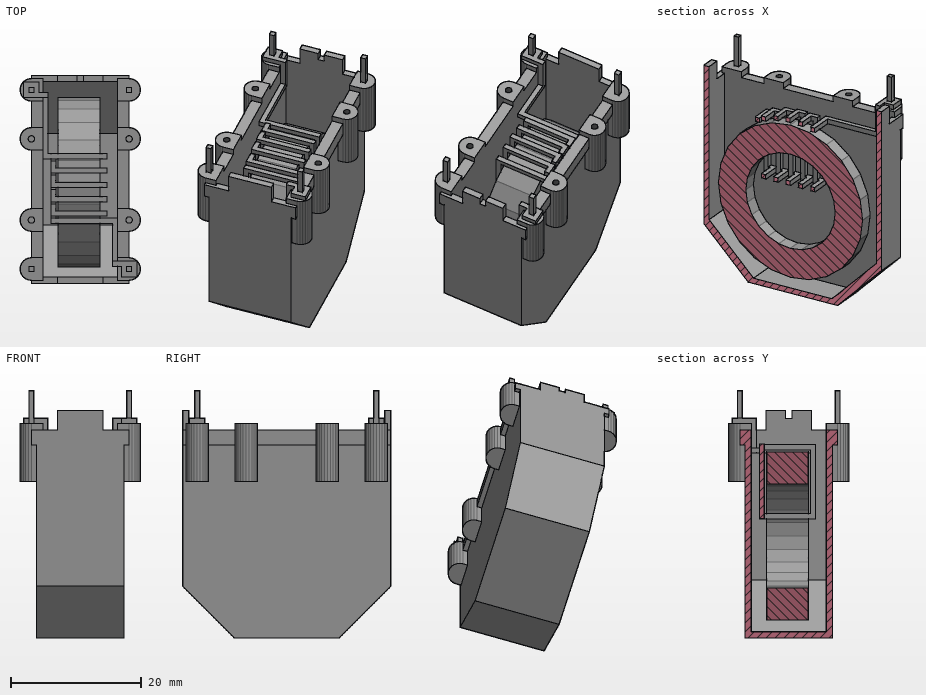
import cadquery as cq
import math

LENGTH = 32.0
BODY_WIDTH = 13.5
RIM_WIDTH = 15.0
RIM_TOP = 32.0
RIM_HEIGHT = 2.35
END_CHAMFER = 7.98
WALL = 1.0
POCKET_WIDTH = 11.5

TAB_WIDTH = 7.03
TAB_HEIGHT = 3.0
SLOT_WIDTH = 1.0
SLOT_DEPTH = 1.25

FACETS = 24
OVERALL_WIDTH = 18.5
POST_RADIUS = 1.75
POST_X = OVERALL_WIDTH / 2 - POST_RADIUS
POST_TOP = RIM_TOP + WALL
POST_LENGTH = 8.93
CORNER_POST_Y = 13.75
MIDDLE_POST_Y = 6.25
SCREW_HOLE_DIAMETER = 1.0
POST_HOLE_DEPTH = 6.0

CORE_RADIUS = 13.0
BORE_RADIUS = 7.98
CORE_WIDTH = 6.4
CORE_X = -0.2
CORE_Y = -0.4
CORE_Z = 15.7

WIRE = 0.8
WIRE_CLEARANCE = 0.35
TURNS = 5
PITCH = 2.2
FIRST_TURN_Y = 3.57
RETURN_Z = CORE_Z + 3.05
PIN_TOP = 38
PLATE_SIDE = 3 * WIRE

LEG_OFFSET = CORE_WIDTH / 2 + WIRE_CLEARANCE + WIRE / 2
LEFT_LEG_X = CORE_X - LEG_OFFSET
RIGHT_LEG_X = CORE_X + LEG_OFFSET
LEAD_X = (POCKET_WIDTH - WIRE) / 2
LEAD_END_Y = CORNER_POST_Y - (PLATE_SIDE - WIRE) / 2
PLATE_Z = POST_TOP + WIRE / 2


def box(x_range, y_range, z_range):
    """Box given by its limits along the three axes."""
    (x0, x1), (y0, y1), (z0, z1) = x_range, y_range, z_range
    return cq.Workplane("XY").box(x1 - x0, y1 - y0, z1 - z0, centered=False).translate((x0, y0, z0))


def chamfered_block(width, end_y, base_z, top_z):
    """Block centred on X = 0 whose lower ends slope at 45 degrees."""
    flat_y = end_y - END_CHAMFER
    knee_z = base_z + END_CHAMFER
    outline = [
        (-flat_y, base_z),
        (flat_y, base_z),
        (end_y, knee_z),
        (end_y, top_z),
        (-end_y, top_z),
        (-end_y, knee_z),
    ]
    return cq.Workplane("YZ").polyline(outline).close().extrude(width / 2, both=True)


def make_post(side, y):
    """Post on the given side (-1 or +1): a round outer end joined to the wall by a flat-sided web."""
    base_z = POST_TOP - POST_LENGTH
    post = (
        cq.Workplane("XY", origin=(side * POST_X, y, base_z))
        .polygon(FACETS, 2 * POST_RADIUS)
        .extrude(POST_LENGTH)
    )
    web_x = sorted((side * POCKET_WIDTH / 2, side * POST_X))
    web = box(web_x, (y - POST_RADIUS, y + POST_RADIUS), (base_z, POST_TOP))
    return post.union(web)


def make_tab(end):
    """Tab on top of the end wall at -Y (end = -1) or +Y (end = +1)."""
    y_range = sorted((end * LENGTH / 2, end * (LENGTH / 2 - WALL)))
    return box((-TAB_WIDTH / 2, TAB_WIDTH / 2), y_range, (RIM_TOP, RIM_TOP + TAB_HEIGHT))


def make_housing():
    end_y = LENGTH / 2
    tab_top = RIM_TOP + TAB_HEIGHT
    housing = chamfered_block(BODY_WIDTH, end_y, 0, RIM_TOP)
    rim = box((-RIM_WIDTH / 2, RIM_WIDTH / 2), (-end_y, end_y), (RIM_TOP - RIM_HEIGHT, RIM_TOP))
    housing = housing.union(rim)
    post_rows = (-CORNER_POST_Y, -MIDDLE_POST_Y, MIDDLE_POST_Y, CORNER_POST_Y)
    for side in (-1, 1):
        for y in post_rows:
            housing = housing.union(make_post(side, y))
    for end in (-1, 1):
        housing = housing.union(make_tab(end))
    housing = housing.cut(chamfered_block(POCKET_WIDTH, end_y - WALL, WALL, tab_top))
    slot = box((-SLOT_WIDTH / 2, SLOT_WIDTH / 2), (end_y - WALL, end_y), (tab_top - SLOT_DEPTH, tab_top))
    housing = housing.cut(slot)
    screw_holes = (
        cq.Workplane("XY", origin=(0, 0, POST_TOP))
        .rect(2 * POST_X, 2 * MIDDLE_POST_Y, forConstruction=True)
        .vertices()
        .polygon(FACETS, SCREW_HOLE_DIAMETER)
        .extrude(-POST_HOLE_DEPTH)
    )
    return housing.cut(screw_holes)


def make_core():
    return (
        cq.Workplane("YZ", origin=(CORE_X - CORE_WIDTH / 2, CORE_Y, CORE_Z))
        .polygon(FACETS, 2 * CORE_RADIUS)
        .polygon(FACETS, 2 * BORE_RADIUS)
        .extrude(CORE_WIDTH)
    )


def crossing_z(y):
    """Height of the centre line of the wire where it crosses over the core at y."""
    path_radius = CORE_RADIUS + WIRE_CLEARANCE + WIRE / 2
    return CORE_Z + math.sqrt(path_radius**2 - (y - CORE_Y) ** 2)


def wire_path(points):
    """Square wire along an axis-parallel path, with solid square corners."""
    wire = cq.Workplane("XY")
    half = WIRE / 2
    for start, end in zip(points, points[1:]):
        ranges = [(min(a, b) - half, max(a, b) + half) for a, b in zip(start, end)]
        wire = wire.union(box(*ranges))
    return wire


def make_plate(side):
    """Plate on the corner post at side * (POST_X, -CORNER_POST_Y)."""
    plate = cq.Workplane("XY").rect(PLATE_SIDE, PLATE_SIDE).extrude(WIRE)
    return plate.translate((side * POST_X, -side * CORNER_POST_Y, POST_TOP))


def lead_points(side, y, z):
    """Path from a plate, down the pocket wall and along it to the turn at y."""
    end_y = -side * LEAD_END_Y
    return [
        (side * POST_X, end_y, PLATE_Z),
        (side * LEAD_X, end_y, PLATE_Z),
        (side * LEAD_X, end_y, z),
        (side * LEAD_X, y, z),
    ]


def make_winding():
    turn_ys = [FIRST_TURN_Y - PITCH * turn for turn in range(TURNS)]
    points = lead_points(-1, turn_ys[0], crossing_z(turn_ys[0]))
    for y in turn_ys:
        leg_y = y - PITCH / 2
        next_y = y - PITCH
        points += [
            (RIGHT_LEG_X, y, crossing_z(y)),
            (RIGHT_LEG_X, y, RETURN_Z),
            (LEFT_LEG_X, y, RETURN_Z),
            (LEFT_LEG_X, leg_y, RETURN_Z),
        ]
        if y != turn_ys[-1]:
            points += [
                (LEFT_LEG_X, leg_y, crossing_z(next_y)),
                (LEFT_LEG_X, next_y, crossing_z(next_y)),
            ]
    exit_y = turn_ys[-1] - PITCH / 2
    exit_z = crossing_z(exit_y)
    points.append((LEFT_LEG_X, exit_y, exit_z))
    points += reversed(lead_points(1, exit_y, exit_z))
    return wire_path(points).union(make_plate(-1)).union(make_plate(1))


def make_pin(x, y):
    """Square pin seated in a corner post, rising to the top of the part."""
    half = WIRE / 2
    return box((x - half, x + half), (y - half, y + half), (POST_TOP - POST_HOLE_DEPTH, PIN_TOP))


core = make_core()
pins = [
    make_pin(side * POST_X, end * CORNER_POST_Y)
    for side in (-1, 1)
    for end in (-1, 1)
]
wound_housing = make_housing().union(make_winding())
for pin in pins:
    wound_housing = wound_housing.cut(pin)

result = cq.Compound.makeCompound([wound_housing.val(), core.val(), *[pin.val() for pin in pins]])